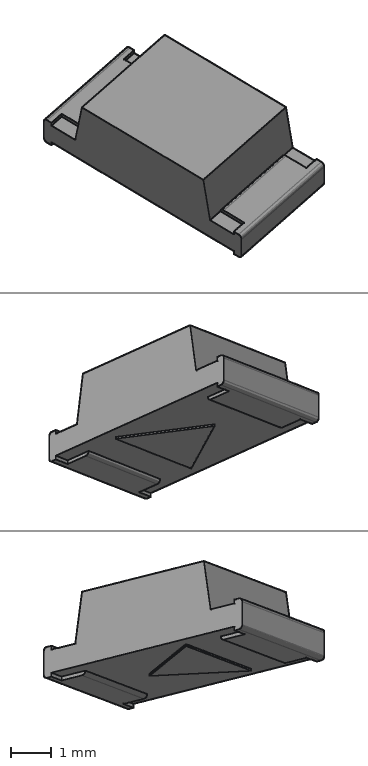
import cadquery as cq
import math

length = 6.3
width = 3.2
height = 2.0

plating = 0.1
terminal_height = 0.8
terminal_reach = 1.0
terminal_radius = plating
board_top = terminal_height - plating

notch_start = 0.245
notch_width = 0.4

lens_base_length = length - 2 * terminal_reach
lens_top_length = 3.87

mark_length = 2.205
mark_width = 2 * mark_length / math.sqrt(3)
mark_thickness = 0.05


def make_board():
    return cq.Workplane("XY").box(
        length - 2 * plating, width, board_top - plating, centered=(True, True, False)
    ).translate((0, 0, plating))


def make_lens():
    outline = [
        (-lens_base_length / 2, board_top),
        (lens_base_length / 2, board_top),
        (lens_top_length / 2, height),
        (-lens_top_length / 2, height),
    ]
    return cq.Workplane("XZ").polyline(outline).close().extrude(width / 2, both=True)


def make_left_terminal():
    terminal = (
        cq.Workplane("XY")
        .box(terminal_reach, width, terminal_height, centered=(False, True, False))
        .edges("|Y")
        .fillet(terminal_radius)
        .translate((-length / 2, 0, 0))
    )
    for side in (-1, 1):
        for bottom in (0, board_top):
            notch = cq.Workplane("XY").box(
                terminal_reach - notch_start, notch_width, plating, centered=(False, True, False)
            ).translate((notch_start - length / 2, side * (width - notch_width) / 2, bottom))
            terminal = terminal.cut(notch)
    return terminal


def make_polarity_mark():
    outline = [
        (-mark_length / 2, 0),
        (mark_length / 2, -mark_width / 2),
        (mark_length / 2, mark_width / 2),
    ]
    mark = cq.Workplane("XY").polyline(outline).close().extrude(mark_thickness)
    return mark.translate((0, 0, plating - mark_thickness))


left_terminal = make_left_terminal()
right_terminal = left_terminal.mirror("YZ")
result = (
    make_board()
    .union(make_lens())
    .union(left_terminal)
    .union(right_terminal)
    .union(make_polarity_mark())
)